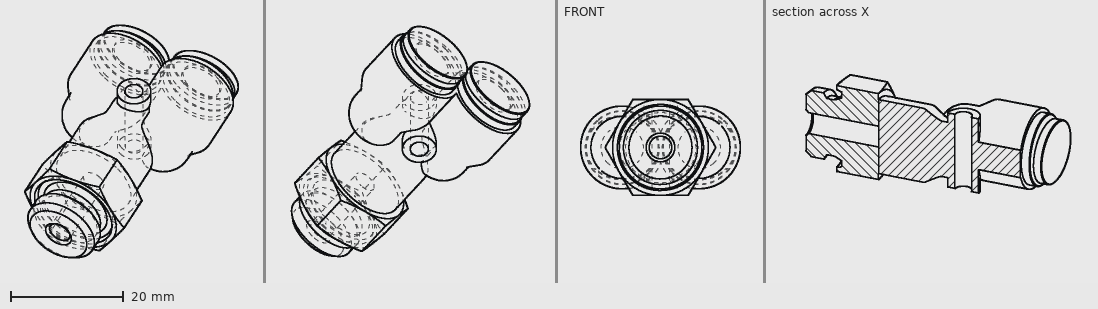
import cadquery as cq
import math


overall_length = 45.45
hex_front_y = 5.95
hex_back_y = 14.1
stem_shoulder_y = 22.9
dome_end_y = 23.1
neck_front_y = 26.1
port_neck_y = 29.7
boss_y = 30.45
port_shoulder_y = 32.7
port_end_y = 41.6
collar_end_y = 43.22
button_disc_y = 43.9

body_dia = 14.7
neck_dia = 11.0
port_offset = 6.8
dome_flat_dia = 2.0
blend_radius = 1.0
boss_dia = 6.0
boss_hole_dia = 3.2

thread_dia = 13.15
groove_dia = 11.2
hex_width = 17.0
hex_chamfer_angle = 20.0
bore_dia = 4.0
bore_chamfer = 0.55
thread_tip_chamfer_length = 1.05
thread_back_y = 3.45
groove_front_y = 4.05
recess_floor_dia = 14.7
recess_mouth_dia = 15.25
recess_depth = 0.9
groove_flare_y = 5.55
groove_flare_dia = 12.45

collar_dia = 13.15
collar_chamfer = 0.15
button_neck_dia = 7.5
button_width = 13.0
button_height = 11.4
button_chamfer = 0.15


def cylinder(diameter, start_y, end_y):
    """Cylinder on the Y axis from start_y to end_y."""
    direction = cq.Vector(0, 1, 0)
    solid = cq.Solid.makeCylinder(diameter / 2, end_y - start_y, cq.Vector(0, start_y, 0), direction)
    return cq.Workplane(obj=solid)


def turned(points):
    """Solid of revolution about the Y axis from a closed outline of (radius, y) points."""
    return cq.Workplane("XY").polyline(points).close().revolve(360, (0, 0, 0), (0, 1, 0))


def rounded_rim(solid, y, radius):
    """Round the circular edge of a turned solid that lies at the given Y."""
    return solid.edges(cq.selectors.NearestToPointSelector((0, y, 0))).fillet(radius)


def make_stem():
    body_radius = body_dia / 2
    neck_radius = neck_dia / 2
    stem = turned([
        (0, hex_back_y),
        (body_radius, hex_back_y),
        (body_radius, stem_shoulder_y),
        (neck_radius, neck_front_y),
        (neck_radius, boss_y),
        (0, boss_y),
    ])
    stem = rounded_rim(stem, stem_shoulder_y, blend_radius)
    return rounded_rim(stem, neck_front_y, blend_radius)


def make_port_barrel():
    body_radius = body_dia / 2
    neck_radius = neck_dia / 2
    barrel = turned([
        (0, dome_end_y),
        (neck_radius, dome_end_y),
        (neck_radius, port_neck_y),
        (body_radius, port_shoulder_y),
        (body_radius, port_end_y),
        (0, port_end_y),
    ])
    barrel = rounded_rim(barrel, port_shoulder_y, blend_radius)
    barrel = rounded_rim(barrel, port_neck_y, blend_radius)
    return rounded_rim(barrel, dome_end_y, (neck_dia - dome_flat_dia) / 2)


def make_housing():
    boss_profile = cq.Workplane("XY").center(0, boss_y)
    housing = make_stem()
    for side in (-1, 1):
        housing = housing.union(make_port_barrel().translate((side * port_offset, 0, 0)))
    housing = housing.union(boss_profile.circle(boss_dia / 2).extrude(body_dia / 2, both=True))
    return housing.cut(boss_profile.circle(boss_hole_dia / 2).extrude(body_dia, both=True))


def make_hexagon():
    corner_dia = hex_width / math.cos(math.radians(30))
    corner_radius = corner_dia / 2
    flat_radius = hex_width / 2
    corner_chamfer = (corner_radius - flat_radius) * math.tan(math.radians(hex_chamfer_angle))
    prism = (
        cq.Workplane("XZ", origin=(0, hex_front_y, 0))
        .polygon(6, corner_dia)
        .extrude(-(hex_back_y - hex_front_y))
    )
    chamfer_envelope = turned([
        (0, hex_front_y),
        (flat_radius, hex_front_y),
        (corner_radius, hex_front_y + corner_chamfer),
        (corner_radius, hex_back_y - corner_chamfer),
        (flat_radius, hex_back_y),
        (0, hex_back_y),
    ])
    return prism.intersect(chamfer_envelope)


def make_thread():
    """Threaded end and groove, the groove flaring out towards the floor of the hexagon's recess."""
    thread_radius = thread_dia / 2
    groove_radius = groove_dia / 2
    recess_floor_y = hex_front_y + recess_depth
    return turned([
        (0, 0),
        (groove_radius, 0),
        (thread_radius, thread_tip_chamfer_length),
        (thread_radius, thread_back_y),
        (groove_radius, groove_front_y),
        (groove_radius, groove_flare_y),
        (groove_flare_dia / 2, recess_floor_y),
        (0, recess_floor_y),
    ])


def make_recess():
    """Shallow tapered recess in the front face of the hexagon."""
    return turned([
        (0, hex_front_y),
        (recess_mouth_dia / 2, hex_front_y),
        (recess_floor_dia / 2, hex_front_y + recess_depth),
        (0, hex_front_y + recess_depth),
    ])


def make_bore():
    """Through bore with a chamfered mouth."""
    bore_radius = bore_dia / 2
    return turned([
        (0, 0),
        (bore_radius + bore_chamfer, 0),
        (bore_radius, bore_chamfer),
        (bore_radius, hex_back_y),
        (0, hex_back_y),
    ])


def make_stud():
    return make_hexagon().cut(make_recess()).union(make_thread()).cut(make_bore())


def make_collar(x):
    collar = cylinder(collar_dia, port_end_y, collar_end_y)
    return collar.faces(">Y").chamfer(collar_chamfer).translate((x, 0, 0))


def make_button(x):
    disc = (
        cq.Workplane("XZ", origin=(0, button_disc_y, 0))
        .ellipse(button_width / 2, button_height / 2)
        .extrude(-(overall_length - button_disc_y))
        .faces(">Y")
        .chamfer(button_chamfer)
    )
    return cylinder(button_neck_dia, collar_end_y, button_disc_y).union(disc).translate((x, 0, 0))


housing = make_housing()
stud = make_stud()
port_positions = [-port_offset, port_offset]
collars = [make_collar(x).val() for x in port_positions]
buttons = [make_button(x).val() for x in port_positions]

result = cq.Compound.makeCompound([housing.val(), stud.val(), *collars, *buttons])